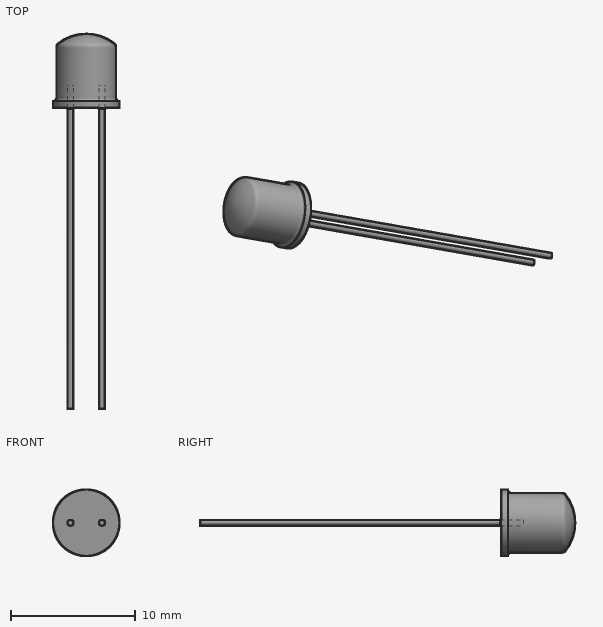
import cadquery as cq
import math

total_length = 30.2
lead_length = 24.22
lead_tip_y = -total_length / 2
base_y = lead_tip_y + lead_length
apex_y = lead_tip_y + total_length

flange_diameter = 5.38
flange_thickness = 0.57
barrel_diameter = 4.83
flange_fillet = 0.18
dome_radius = 3.62
shoulder_fillet = 0.45

lead_diameter = 0.48
lead_spacing = 2.55
lead_depth_in_lens = 1.8
meniscus_radius = 0.1

lead_positions = [-lead_spacing / 2, lead_spacing / 2]


def make_lens_blank():
    """Flanged barrel closed by a spherical dome, with blended corners."""
    barrel_radius = barrel_diameter / 2
    flange_radius = flange_diameter / 2
    flange_top_y = base_y + flange_thickness
    dome_centre_y = apex_y - dome_radius

    shoulder_x = barrel_radius - shoulder_fillet
    shoulder_y = dome_centre_y + math.sqrt((dome_radius - shoulder_fillet) ** 2 - shoulder_x**2)
    tangent_angle = math.atan2(shoulder_y - dome_centre_y, shoulder_x)

    def arc_point(centre_x, centre_y, radius, angle):
        return (centre_x + radius * math.cos(angle), centre_y + radius * math.sin(angle))

    dome_edge = arc_point(0, dome_centre_y, dome_radius, tangent_angle)
    dome_middle = arc_point(0, dome_centre_y, dome_radius, (tangent_angle + math.pi / 2) / 2)
    shoulder_middle = arc_point(shoulder_x, shoulder_y, shoulder_fillet, tangent_angle / 2)
    fillet_middle = arc_point(
        barrel_radius + flange_fillet, flange_top_y + flange_fillet, flange_fillet, math.radians(225)
    )

    profile = (
        cq.Workplane("XY")
        .moveTo(0, base_y)
        .lineTo(flange_radius, base_y)
        .lineTo(flange_radius, flange_top_y)
        .lineTo(barrel_radius + flange_fillet, flange_top_y)
        .threePointArc(fillet_middle, (barrel_radius, flange_top_y + flange_fillet))
        .lineTo(barrel_radius, shoulder_y)
        .threePointArc(shoulder_middle, dome_edge)
        .threePointArc(dome_middle, (0, apex_y))
        .close()
    )
    return profile.revolve(360, (0, 0, 0), (0, 1, 0))


def make_lead(x):
    """Straight round wire that reaches into the lens."""
    length = lead_length + lead_depth_in_lens
    tip = cq.Vector(x, lead_tip_y, 0)
    return cq.Workplane(cq.Solid.makeCylinder(lead_diameter / 2, length, tip, cq.Vector(0, 1, 0)))


def make_meniscus(x):
    """Concave skirt of lens material around a lead, standing on a disc that sinks into the flange."""
    lead_radius = lead_diameter / 2
    foot_radius = lead_radius + meniscus_radius
    rim_y = base_y - meniscus_radius
    arc_offset = meniscus_radius * math.sqrt(0.5)
    arc_middle = (x + foot_radius - arc_offset, rim_y + arc_offset)
    profile = (
        cq.Workplane("XY")
        .moveTo(x, rim_y)
        .lineTo(x + lead_radius, rim_y)
        .threePointArc(arc_middle, (x + foot_radius, base_y))
        .lineTo(x + foot_radius, base_y + meniscus_radius)
        .lineTo(x, base_y + meniscus_radius)
        .close()
    )
    return profile.revolve(360, (x, 0, 0), (x, 1, 0))


def make_lens(leads):
    """Lens with a meniscus and a matching blind hole at each lead."""
    lens = make_lens_blank()
    for x in lead_positions:
        lens = lens.union(make_meniscus(x))
    for lead in leads:
        lens = lens.cut(lead)
    return lens


leads = [make_lead(x) for x in lead_positions]
lens = make_lens(leads)

result = cq.Compound.makeCompound([lens.val(), *[lead.val() for lead in leads]])